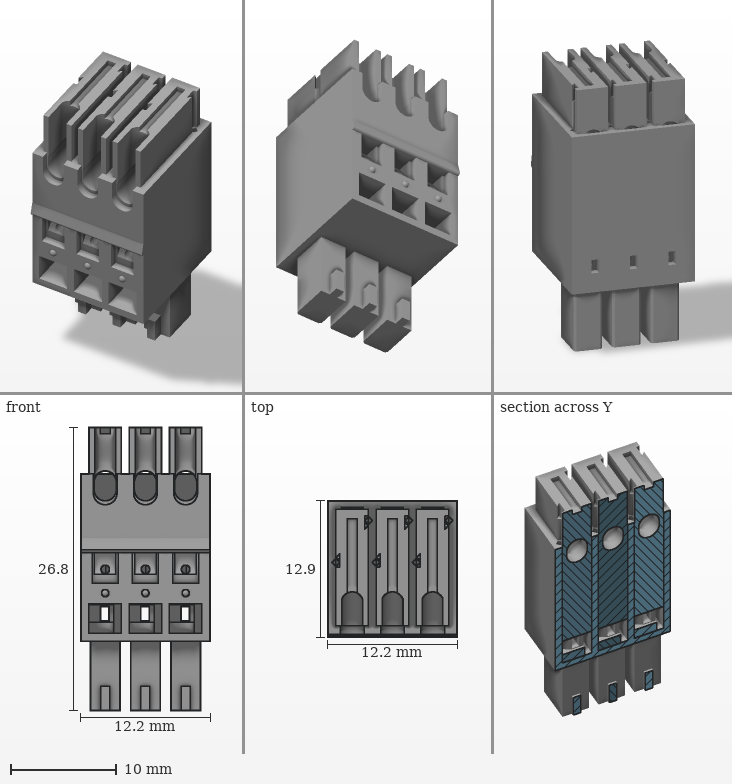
import cadquery as cq
import math

POLE_PITCH = 3.8
POLES = [-POLE_PITCH, 0, POLE_PITCH]

HOUSING_WIDTH = 12.22
HOUSING_DEPTH = 12.6
HOUSING_HEIGHT = 15.85
FRONT_WALL = 0.78
REAR_WALL = 0.78
FLOOR = 0.78
CAVITY_WIDTH = 3.08
CAVITY_REAR = HOUSING_DEPTH - REAR_WALL
WIRE_WINDOW_TOP = 3.55
TEST_WINDOW_WIDTH = 2.47
TEST_WINDOW_BOTTOM = 5.5
CABLE_NOTCH_WIDTH = 2.25
CABLE_NOTCH_BOTTOM = 12.92

FRONT_PROJECTION = 0.3
RIDGE_TOP = 9.75
RIDGE_BOTTOM = 8.4
DOME_DIAMETER = 0.7
DOME_Z = 4.55

RELIEF_WIDTH = 2.1
RELIEF_DEPTH = 0.2
RELIEF_FLOOR = 13.13
RELIEF_SLOPE_HEIGHT = 0.54

MODULE_RISE = 4.4
MODULE_TOP = HOUSING_HEIGHT + MODULE_RISE
BORE_DIAMETER = 2.1
BORE_BOTTOM = 13.3
BORE_TOP = 16.1
CHANNEL_WIDTH = 1.95
WELL_CENTRE_Y = 2.95
TOP_SLOT_WIDTH = 0.9
TOP_SLOT_DEPTH = 0.6
TOP_SLOT_REAR = 10.9
TEST_RECESS_WIDTH = 2.05
TEST_RECESS_BOTTOM = 6.35
TEST_RAMP_ANGLE = 52
TEST_HOLE_DIAMETER = 0.8
TEST_HOLE_Z = 6.8
TEST_HOLE_END_Y = 3.22
TEST_BEVEL_START_X = 0.05
TEST_BEVEL_LENGTH = 0.25

LEFT_KEY_Y = 6.78
RIGHT_KEY_Y = 10.75
KEY_DEPTH = 0.38
KEY_HALF_OPENING = 0.45
KEY_ROUND = 0.13
KEY_WEDGE_LIP = 0.21
KEY_WEDGE_RISE = 2.75
DIAMOND_SINK = 0.54
DIAMOND_HALF_DIAGONAL = 0.38

LEG_WIDTH = 2.81
LEG_FRONT = 6.4
LEG_REAR = 10.55
LEG_LENGTH = 6.57
LEG_CHAMFER = 0.21
FOOT_WIDTH = 0.85
FOOT_FRONT = 5.3
FOOT_HEIGHT = 2.3
HEAD_LEFT = -CAVITY_WIDTH / 2
HEAD_RIGHT = 0.83
HEAD_TOP = 3.45
STEP_FRONT = 5.3
STEP_TOP = 1.82
STEP_ROUND_DIAMETER = 1.2
PASSAGE_LEFT = -0.43
PASSAGE_RIGHT = 0.35
PASSAGE_BOTTOM = 1.93
PASSAGE_TOP = 3.27
LEAD_IN_DEPTH = 0.6


def block(x0, x1, y0, y1, z0, z1):
    """Rectangular block between two opposite corners."""
    return cq.Workplane("XY").box(x1 - x0, y1 - y0, z1 - z0, centered=False).translate((x0, y0, z0))


def centred_block(x, width, y0, y1, z0, z1):
    """Rectangular block centred on x."""
    return block(x - width / 2, x + width / 2, y0, y1, z0, z1)


def side_prism(points, x, width):
    """Prism centred on x with a profile of (y, z) points."""
    return cq.Workplane("YZ").polyline(points).close().extrude(width).translate((x - width / 2, 0, 0))


def vertical_prism(points, z0, z1):
    """Upright prism with an outline of (x, y) points."""
    return cq.Workplane("XY").workplane(offset=z0).polyline(points).close().extrude(z1 - z0)


def front_slot(x, width, y0, y1, z0, z1):
    """Round-ended upright slot running along Y."""
    return (
        cq.Workplane("XZ", origin=(x, y0, (z0 + z1) / 2))
        .slot2D(z1 - z0, width, 90)
        .extrude(y0 - y1)
    )


def leg(x, top):
    """Plug leg, chamfered on its two rear edges, from its lower end up to the given height."""
    shank = centred_block(x, LEG_WIDTH, LEG_FRONT, LEG_REAR, -LEG_LENGTH, top)
    return shank.edges("|Z and >Y").chamfer(LEG_CHAMFER)


def passage(x, y0, y1):
    """Rectangular wire passage running along Y."""
    return block(x + PASSAGE_LEFT, x + PASSAGE_RIGHT, y0, y1, PASSAGE_BOTTOM, PASSAGE_TOP)


def key_diamond(x, y):
    """Diamond-shaped recess, level with the housing top, shared by a module and its cavity side."""
    half = DIAMOND_HALF_DIAGONAL
    points = [(x - half, y), (x, y - half), (x + half, y), (x, y + half)]
    return vertical_prism(points, HOUSING_HEIGHT - DIAMOND_SINK, HOUSING_HEIGHT)



def ridge():
    """Full-width front ridge with a sloped top and a rounded underside."""
    profile = (
        cq.Workplane("YZ")
        .moveTo(0, RIDGE_TOP)
        .lineTo(-FRONT_PROJECTION, RIDGE_BOTTOM + FRONT_PROJECTION)
        .radiusArc((0, RIDGE_BOTTOM), -FRONT_PROJECTION)
        .close()
    )
    return profile.extrude(HOUSING_WIDTH).translate((-HOUSING_WIDTH / 2, 0, 0))


def dome(x):
    """Part of a ball that stands out of the housing front face."""
    radius = DOME_DIAMETER / 2
    return cq.Workplane("XY").sphere(radius).translate(
        (x, radius - FRONT_PROJECTION, DOME_Z)
    )


def pole_openings(x):
    """All openings in the housing that belong to one pole."""
    half = CAVITY_WIDTH / 2
    cavity = centred_block(x, CAVITY_WIDTH, FRONT_WALL, CAVITY_REAR, FLOOR, HOUSING_HEIGHT)
    wire_window = centred_block(x, CAVITY_WIDTH, 0, FRONT_WALL, FLOOR, WIRE_WINDOW_TOP)
    test_window = centred_block(
        x, TEST_WINDOW_WIDTH, 0, FRONT_WALL, TEST_WINDOW_BOTTOM, RIDGE_BOTTOM
    )
    cable_notch = front_slot(
        x, CABLE_NOTCH_WIDTH, 0, FRONT_WALL,
        CABLE_NOTCH_BOTTOM, HOUSING_HEIGHT + CABLE_NOTCH_WIDTH,
    )
    relief_points = [
        (CAVITY_REAR, HOUSING_HEIGHT),
        (CAVITY_REAR + RELIEF_DEPTH, HOUSING_HEIGHT),
        (CAVITY_REAR + RELIEF_DEPTH, RELIEF_FLOOR),
        (CAVITY_REAR, RELIEF_FLOOR - RELIEF_SLOPE_HEIGHT),
    ]
    relief = side_prism(relief_points, x, RELIEF_WIDTH)
    return (
        cavity.union(wire_window)
        .union(test_window)
        .union(cable_notch)
        .union(relief)
        .union(key_diamond(x - half, LEFT_KEY_Y))
        .union(key_diamond(x + half, RIGHT_KEY_Y))
        .union(passage(x, CAVITY_REAR, HOUSING_DEPTH))
        .union(leg(x, FLOOR))
    )


def make_housing():
    body = centred_block(0, HOUSING_WIDTH, 0, HOUSING_DEPTH, 0, HOUSING_HEIGHT)
    body = body.union(ridge())
    for x in POLES:
        body = body.union(dome(x)).cut(pole_openings(x))
    return body



def left_keyway():
    """Keyway in the left side of a module centred on X = 0, undercut towards the rear."""
    outer = -CAVITY_WIDTH / 2
    inner = outer + KEY_DEPTH
    front = LEFT_KEY_Y - KEY_HALF_OPENING
    rear = LEFT_KEY_Y + KEY_HALF_OPENING
    bottom = HOUSING_HEIGHT
    groove = vertical_prism(
        [(outer, front), (inner, front), (inner, rear + KEY_DEPTH), (outer, rear)], bottom, MODULE_TOP
    )
    inner_front_edge = cq.selectors.NearestToPointSelector((inner, front, bottom + MODULE_RISE / 2))
    groove = groove.edges(inner_front_edge).fillet(KEY_ROUND)
    wedge = vertical_prism(
        [(outer, rear), (inner, rear - KEY_WEDGE_LIP), (inner, rear + KEY_DEPTH)],
        bottom, bottom + KEY_WEDGE_RISE,
    )
    return groove.cut(wedge).union(key_diamond(outer, LEFT_KEY_Y))


def right_keyway():
    """The left keyway turned half a turn about Z onto the right side."""
    turned = left_keyway().rotate((0, 0, 0), (0, 0, 1), 180)
    return turned.translate((0, LEFT_KEY_Y + RIGHT_KEY_Y, 0))


def cable_channel():
    """Round-ended bore along Y, opened upwards by a channel that ends in a round well."""
    mid_bore = (BORE_BOTTOM + BORE_TOP) / 2
    bore = front_slot(0, BORE_DIAMETER, FRONT_WALL, CAVITY_REAR, BORE_BOTTOM, BORE_TOP)
    channel = centred_block(0, CHANNEL_WIDTH, FRONT_WALL, WELL_CENTRE_Y, mid_bore, MODULE_TOP)
    well = (
        cq.Workplane("XY", origin=(0, WELL_CENTRE_Y, mid_bore))
        .circle(BORE_DIAMETER / 2)
        .extrude(MODULE_TOP - mid_bore)
    )
    well_limit = centred_block(
        0, CHANNEL_WIDTH, WELL_CENTRE_Y, WELL_CENTRE_Y + BORE_DIAMETER, mid_bore, MODULE_TOP
    )
    return bore.union(channel).union(well.intersect(well_limit))


def test_recess():
    """Recess with a ramp for its floor and a round hole into the ramp, bevelled at its inner end."""
    ramp_run = (RIDGE_BOTTOM - TEST_RECESS_BOTTOM) / math.tan(math.radians(TEST_RAMP_ANGLE))
    points = [
        (FRONT_WALL, TEST_RECESS_BOTTOM),
        (FRONT_WALL + ramp_run, RIDGE_BOTTOM),
        (FRONT_WALL, RIDGE_BOTTOM),
    ]
    hole_radius = TEST_HOLE_DIAMETER / 2
    hole = (
        cq.Workplane("XZ", origin=(0, FRONT_WALL, TEST_HOLE_Z))
        .circle(hole_radius)
        .extrude(FRONT_WALL - TEST_HOLE_END_Y)
    )
    bevel = vertical_prism(
        [
            (TEST_BEVEL_START_X, TEST_HOLE_END_Y),
            (hole_radius, TEST_HOLE_END_Y - TEST_BEVEL_LENGTH),
            (hole_radius, TEST_HOLE_END_Y),
        ],
        TEST_HOLE_Z - hole_radius, TEST_HOLE_Z + hole_radius,
    )
    return side_prism(points, 0, TEST_RECESS_WIDTH).union(hole.cut(bevel))


def make_module(x):
    body = centred_block(0, CAVITY_WIDTH, FRONT_WALL, CAVITY_REAR, WIRE_WINDOW_TOP, MODULE_TOP)
    top_slot = centred_block(
        0, TOP_SLOT_WIDTH, WELL_CENTRE_Y, TOP_SLOT_REAR, MODULE_TOP - TOP_SLOT_DEPTH, MODULE_TOP
    )
    body = body.cut(cable_channel()).cut(top_slot).cut(test_recess())
    body = body.cut(left_keyway()).cut(right_keyway())
    return body.translate((x, 0, 0))



def make_plug(x):
    head = block(HEAD_LEFT, HEAD_RIGHT, LEG_FRONT, LEG_REAR, FLOOR, HEAD_TOP)
    step = block(HEAD_LEFT, HEAD_RIGHT, STEP_FRONT, LEG_FRONT, FLOOR, STEP_TOP)
    step = step.edges("|Z and >X and <Y").fillet(STEP_ROUND_DIAMETER / 2)
    lead_in = vertical_prism(
        [(HEAD_LEFT, LEG_FRONT), (PASSAGE_LEFT, LEG_FRONT), (HEAD_LEFT, LEG_FRONT + LEAD_IN_DEPTH)],
        STEP_TOP, HEAD_TOP,
    )
    foot = centred_block(0, FOOT_WIDTH, FOOT_FRONT, LEG_FRONT, -LEG_LENGTH, FOOT_HEIGHT - LEG_LENGTH)
    body = leg(0, FLOOR).union(head).union(step).union(foot)
    body = body.cut(lead_in).cut(passage(0, LEG_FRONT, LEG_REAR))
    return body.translate((x, 0, 0))


housing = make_housing()
modules = [make_module(x) for x in POLES]
plugs = [make_plug(x) for x in POLES]

bodies = [housing, *modules, *plugs]

result = cq.Compound.makeCompound([body.solids().val() for body in bodies])